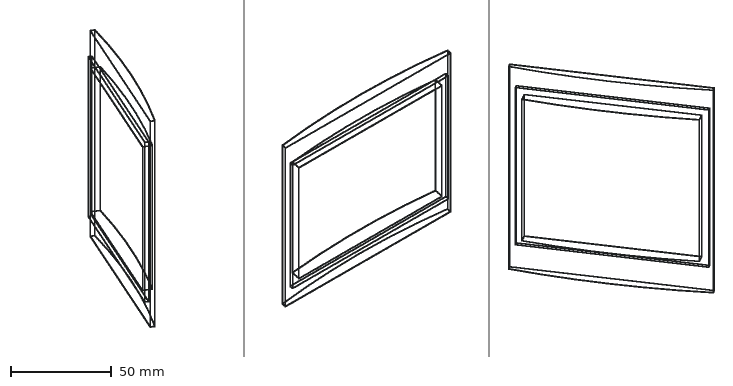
import cadquery as cq

width = 104.5
height = 114.3
depth = 7.5

lip_width = 98.6
lip_height = 88.7
lip_depth = 2.0

window_width = 90.5
window_height = 79.8

edge_thickness = 2.4

plate_front_y = lip_depth
plate_edge_y = plate_front_y + edge_thickness


def bowed_plate():
    """Flat-fronted plate with a back that is an arc across its width."""
    return (
        cq.Workplane("XY")
        .moveTo(-width / 2, plate_front_y)
        .lineTo(width / 2, plate_front_y)
        .lineTo(width / 2, plate_edge_y)
        .threePointArc((0, depth), (-width / 2, plate_edge_y))
        .close()
        .extrude(height / 2, both=True)
    )


def centered_block(block_width, block_height, block_depth):
    """Block centred in X and Z, reaching back from the front plane Y = 0."""
    return cq.Workplane("XY").box(
        block_width, block_depth, block_height, centered=(True, False, True)
    )


lip = centered_block(lip_width, lip_height, lip_depth)
window = centered_block(window_width, window_height, depth)

result = bowed_plate().union(lip).cut(window)